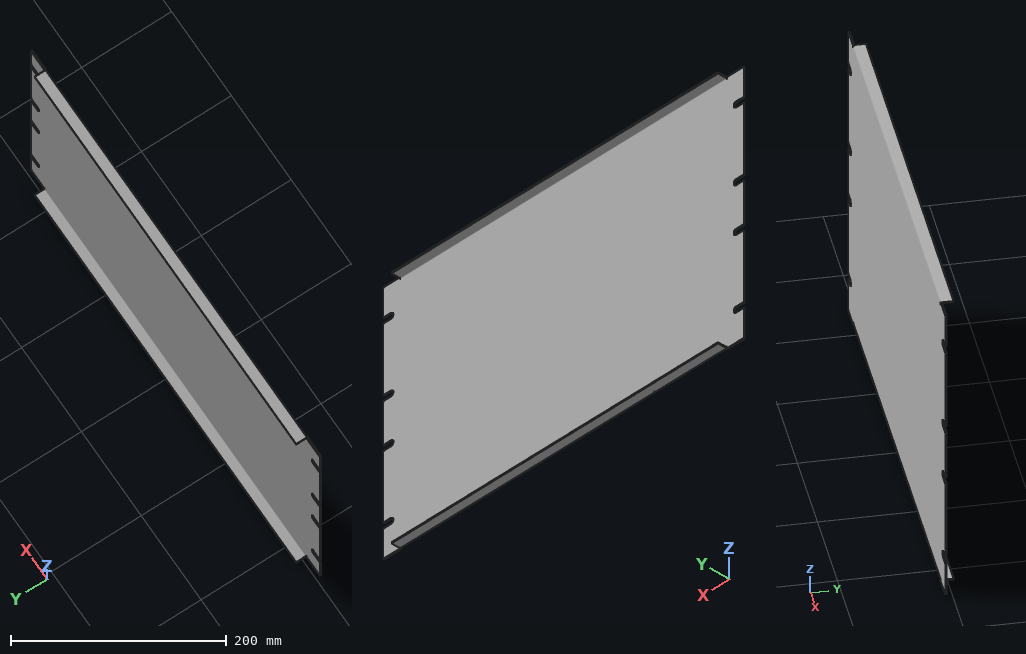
import cadquery as cq

width = 482.5
height = 310.5
depth = 12.5
thickness = 1.5
bend_radius = 2.5
inner_radius = bend_radius - thickness
flange_inset = 22.5
flange_length = width - 2 * flange_inset

slot_width = 6.8
slot_depth = 13.5
slot_heights = (28.5, 117.5)


def make_flanged_middle():
    """Channel section between the flange ends, with rounded bends."""
    outside = (
        cq.Workplane("XY")
        .box(flange_length, depth, height, centered=(True, False, True))
        .edges("|X and <Y")
        .fillet(bend_radius)
    )
    inside = (
        cq.Workplane("XY")
        .box(flange_length, depth, height - 2 * thickness, centered=(True, False, True))
        .translate((0, thickness, 0))
        .edges("|X and <Y")
        .fillet(inner_radius)
    )
    return outside.cut(inside)


def make_side_ear(side):
    """Flat full-height strip beside the flanges; side is -1 or 1."""
    return (
        cq.Workplane("XY")
        .box(flange_inset, thickness, height, centered=(True, False, True))
        .translate((side * (width - flange_inset) / 2, 0, 0))
    )


def make_slot(side, z):
    """Round-ended cutter whose centre lies on the side edge of the panel."""
    return (
        cq.Workplane("XZ", origin=(side * width / 2, 0, z))
        .slot2D(2 * slot_depth, slot_width)
        .extrude(-thickness)
    )


result = make_flanged_middle()
for side in (-1, 1):
    result = result.union(make_side_ear(side))
    for slot_height in slot_heights:
        for z in (-slot_height, slot_height):
            result = result.cut(make_slot(side, z))